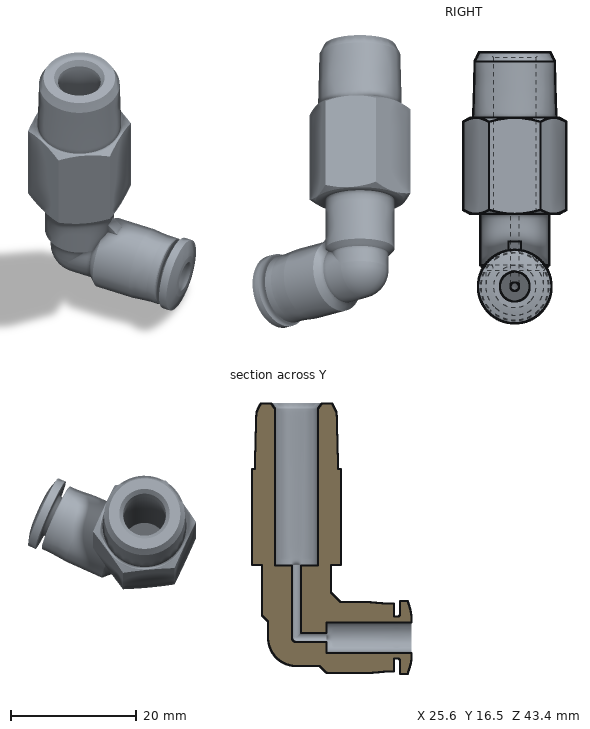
import cadquery as cq
import math

TOTAL_HEIGHT = 43.4
THREAD_CHAMFER_HEIGHT = 1.48
HEX_TOP = 32.95
HEX_BOTTOM = 17.5
BARREL_BOTTOM = 9.37

THREAD_TIP_DIAMETER = 11.45
THREAD_SMALL_DIAMETER = 12.95
THREAD_LARGE_DIAMETER = 13.4
HEX_ACROSS_FLATS = 14.32
HEX_CHAMFER_DIAMETER = 14.15
HEX_CHAMFER_ANGLE = 30.0
BARREL_DIAMETER = 11.05
ELBOW_DIAMETER = 9.2

BODY_CONE_START = 3.75
BODY_TAPER_START = 11.2
BODY_TAPER_END = 14.2
BODY_END = 15.62
FLANGE_START = 16.55
FLANGE_RIM_END = 17.8
ARM_END = 18.45

BODY_DIAMETER = 11.5
BODY_TIP_DIAMETER = 11.0
BODY_TIP_CHAMFER = 0.15
NECK_DIAMETER = 6.75
NECK_FILLET = 0.35
FLANGE_DIAMETER = 11.8
FLANGE_FACE_DIAMETER = 6.75
FLANGE_CROWN = 0.1

RIB_THICKNESS = 2.0
RIB_LEG = 1.48

BORE_DIAMETER = 6.85
BORE_MOUTH_DIAMETER = 8.07
BORE_MOUTH_DEPTH = 0.85
PASSAGE_DIAMETER = 1.4
TUBE_DIAMETER = 4.77

ARM_HEIGHT = FLANGE_DIAMETER / 2
ELBOW_RADIUS = ELBOW_DIAMETER / 2
BODY_RADIUS = BODY_DIAMETER / 2
BARREL_RADIUS = BARREL_DIAMETER / 2
BARREL_CONE_END = BARREL_BOTTOM - (BARREL_RADIUS - ELBOW_RADIUS)
BODY_START = BODY_CONE_START + (BODY_RADIUS - ELBOW_RADIUS)


def revolve_about_z(profile):
    return profile.close().revolve(360, (0, 0, 0), (0, 1, 0))


def stem():
    """Tapered thread, round barrel and the upright leg of the elbow."""
    return revolve_about_z(
        cq.Workplane("XZ")
        .moveTo(0, ARM_HEIGHT)
        .lineTo(ELBOW_RADIUS, ARM_HEIGHT)
        .lineTo(ELBOW_RADIUS, BARREL_CONE_END)
        .lineTo(BARREL_RADIUS, BARREL_BOTTOM)
        .lineTo(BARREL_RADIUS, HEX_TOP)
        .lineTo(THREAD_LARGE_DIAMETER / 2, HEX_TOP)
        .lineTo(THREAD_SMALL_DIAMETER / 2, TOTAL_HEIGHT - THREAD_CHAMFER_HEIGHT)
        .lineTo(THREAD_TIP_DIAMETER / 2, TOTAL_HEIGHT)
        .lineTo(0, TOTAL_HEIGHT)
    )


def hexagon():
    """Hexagon with flats facing +X and -X and conically chamfered corners."""
    corner_radius = HEX_ACROSS_FLATS / math.sqrt(3)
    chamfer_radius = HEX_CHAMFER_DIAMETER / 2
    drop = (corner_radius - chamfer_radius) * math.tan(math.radians(HEX_CHAMFER_ANGLE))
    prism = (
        cq.Workplane("XY")
        .workplane(offset=HEX_BOTTOM)
        .polygon(6, 2 * corner_radius)
        .extrude(HEX_TOP - HEX_BOTTOM)
        .rotate((0, 0, 0), (0, 0, 1), 30)
    )
    envelope = revolve_about_z(
        cq.Workplane("XZ")
        .moveTo(0, HEX_BOTTOM)
        .lineTo(chamfer_radius, HEX_BOTTOM)
        .lineTo(corner_radius, HEX_BOTTOM + drop)
        .lineTo(corner_radius, HEX_TOP - drop)
        .lineTo(chamfer_radius, HEX_TOP)
        .lineTo(0, HEX_TOP)
    )
    return prism.intersect(envelope)


def arm():
    """Horizontal leg of the elbow, push-in body, neck and release flange."""
    neck_radius = NECK_DIAMETER / 2
    body_tip_radius = BODY_TIP_DIAMETER / 2
    flange_radius = FLANGE_DIAMETER / 2
    face_radius = FLANGE_FACE_DIAMETER / 2
    run = ARM_END - FLANGE_RIM_END
    rise = flange_radius - face_radius
    chord = math.hypot(run, rise)
    crown_point = (
        (FLANGE_RIM_END + ARM_END) / 2 + FLANGE_CROWN * rise / chord,
        (flange_radius + face_radius) / 2 + FLANGE_CROWN * run / chord,
    )
    fillet_start = FLANGE_START - NECK_FILLET
    fillet_half_way = NECK_FILLET * math.sqrt(0.5)
    fillet_middle = (
        fillet_start + fillet_half_way,
        neck_radius + NECK_FILLET - fillet_half_way,
    )
    return (
        cq.Workplane("XZ", origin=(0, 0, ARM_HEIGHT))
        .lineTo(0, ELBOW_RADIUS)
        .lineTo(BODY_CONE_START, ELBOW_RADIUS)
        .lineTo(BODY_START, BODY_RADIUS)
        .lineTo(BODY_TAPER_START, BODY_RADIUS)
        .lineTo(BODY_TAPER_END, body_tip_radius)
        .lineTo(BODY_END - BODY_TIP_CHAMFER, body_tip_radius)
        .lineTo(BODY_END, body_tip_radius - BODY_TIP_CHAMFER)
        .lineTo(BODY_END, neck_radius)
        .lineTo(fillet_start, neck_radius)
        .threePointArc(fillet_middle, (FLANGE_START, neck_radius + NECK_FILLET))
        .lineTo(FLANGE_START, flange_radius)
        .lineTo(FLANGE_RIM_END, flange_radius)
        .threePointArc(crown_point, (ARM_END, face_radius))
        .lineTo(ARM_END, 0)
        .close()
        .revolve(360, (0, 0, 0), (1, 0, 0))
    )


def ball(diameter):
    """Sphere that rounds the corner where the stem and arm axes meet."""
    return cq.Workplane("XY").sphere(diameter / 2).translate((0, 0, ARM_HEIGHT))


def rib():
    """Triangular gusset bridging the barrel and the push-in body."""
    body_top = ARM_HEIGHT + BODY_RADIUS
    return (
        cq.Workplane("XZ")
        .moveTo(0, ARM_HEIGHT)
        .lineTo(BARREL_RADIUS + RIB_LEG, ARM_HEIGHT)
        .lineTo(BARREL_RADIUS + RIB_LEG, body_top)
        .lineTo(BARREL_RADIUS, body_top + RIB_LEG)
        .lineTo(0, body_top + RIB_LEG)
        .close()
        .extrude(RIB_THICKNESS / 2, both=True)
    )


def stem_bore():
    """Wide bore with a conical mouth, ending flat at the hexagon's lower face."""
    bore_radius = BORE_DIAMETER / 2
    mouth_radius = BORE_MOUTH_DIAMETER / 2
    return revolve_about_z(
        cq.Workplane("XZ")
        .moveTo(0, HEX_BOTTOM)
        .lineTo(bore_radius, HEX_BOTTOM)
        .lineTo(bore_radius, TOTAL_HEIGHT - BORE_MOUTH_DEPTH)
        .lineTo(mouth_radius, TOTAL_HEIGHT)
        .lineTo(0, TOTAL_HEIGHT)
    )


def flow_passage():
    """Narrow passage down the stem, turning into the tube socket of the arm."""
    down = (
        cq.Workplane("XY", origin=(0, 0, ARM_HEIGHT))
        .circle(PASSAGE_DIAMETER / 2)
        .extrude(HEX_BOTTOM - ARM_HEIGHT)
    )
    along = (
        cq.Workplane("YZ", origin=(0, 0, ARM_HEIGHT))
        .circle(PASSAGE_DIAMETER / 2)
        .extrude(BODY_START)
    )
    socket = (
        cq.Workplane("YZ", origin=(BODY_START, 0, ARM_HEIGHT))
        .circle(TUBE_DIAMETER / 2)
        .extrude(ARM_END - BODY_START)
    )
    return down.union(along).union(ball(PASSAGE_DIAMETER)).union(socket)


outside = stem().union(hexagon()).union(arm()).union(ball(ELBOW_DIAMETER)).union(rib())
result = outside.cut(stem_bore()).cut(flow_passage())